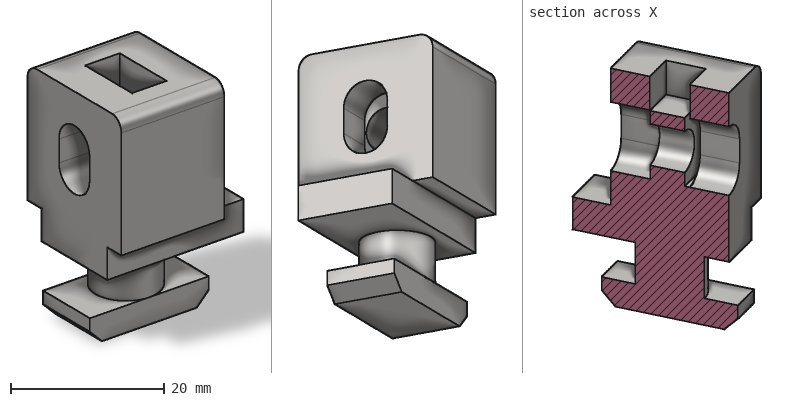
import cadquery as cq

body_width = 20.0
body_depth = 17.0
body_height = 20.0
body_edge_radius = 2.0

rail_width = 14.0
rail_depth = 22.5
rail_height = 4.8

shank_diameter = 10.0
shank_length = 6.0
foot_width = shank_diameter
foot_depth = 19.6
foot_height = 4.0
foot_chamfer = 2.0

nut_size = 10.0
nut_thickness = 5.0
nut_hole_diameter = 6.0
nut_clearance = 0.7

slot_width = 6.5
slot_height = 10.0

body_front_y = -body_depth / 2
bore_z = body_height / 2
pocket_depth_y = nut_thickness + nut_clearance
pocket_back_y = pocket_depth_y / 2
pocket_floor_z = bore_z - nut_size / 2
rail_bottom_z = -rail_height
foot_top_z = rail_bottom_z - shank_length
foot_bottom_z = foot_top_z - foot_height


def box_from(width, depth, height, front_y, bottom_z):
    """Box centred on X, starting at the given front and bottom."""
    box = cq.Workplane("XY").box(width, depth, height, centered=(True, False, False))
    return box.translate((0, front_y, bottom_z))


def make_body():
    """Block with its two upper side edges rounded."""
    block = box_from(body_width, body_depth, body_height, body_front_y, 0)
    return block.faces(">Z").edges("|Y").fillet(body_edge_radius)


def make_slot():
    """Cutter for the round-ended slot that runs front to back."""
    return (
        cq.Workplane("XZ", origin=(0, 0, bore_z))
        .slot2D(slot_height, slot_width, 90)
        .extrude(body_depth / 2, both=True)
    )


def make_pocket():
    """Cutter for the nut pocket, open at the top of the body."""
    pocket_height = body_height - pocket_floor_z
    return box_from(nut_size, pocket_depth_y, pocket_height, -pocket_back_y, pocket_floor_z)


def make_nut():
    """Square nut resting on the pocket floor against its back wall."""
    nut_front_y = pocket_back_y - nut_thickness
    nut = box_from(nut_size, nut_thickness, nut_size, nut_front_y, pocket_floor_z)
    return nut.faces("<Y").workplane(centerOption="CenterOfMass").hole(nut_hole_diameter)


def make_rail():
    return box_from(rail_width, rail_depth, rail_height, body_front_y, rail_bottom_z)


def make_shank():
    return cq.Workplane("XY", origin=(0, 0, foot_top_z)).circle(shank_diameter / 2).extrude(shank_length)


def make_foot():
    """T-foot plate with its front and back lower edges chamfered."""
    plate = box_from(foot_width, foot_depth, foot_height, -foot_depth / 2, foot_bottom_z)
    return plate.faces("<Z").edges("|X").chamfer(foot_chamfer)


housing = make_body().cut(make_slot()).cut(make_pocket())
result = housing.union(make_nut()).union(make_rail()).union(make_shank()).union(make_foot())